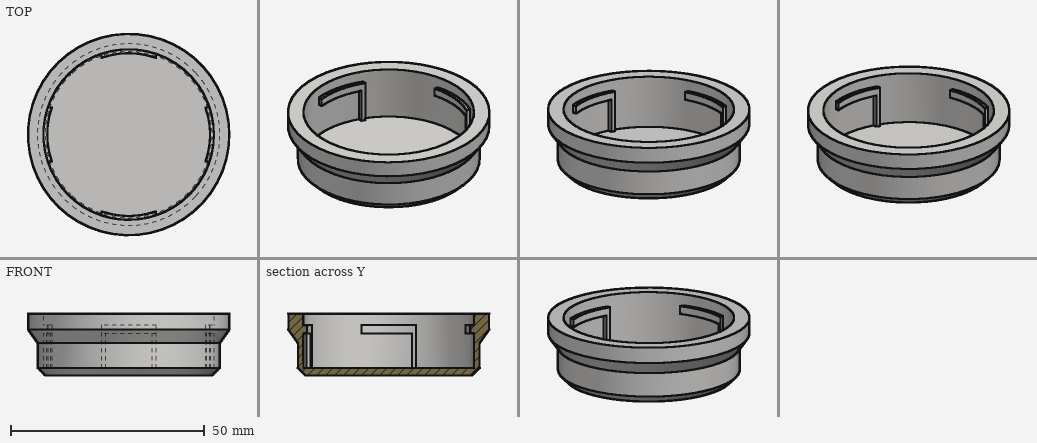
import cadquery as cq

rim_diameter = 52.0
body_diameter = 47.0
cavity_diameter = 44.0
total_height = 16.0
rim_height = 4.15
flare_height = 3.5
bottom_chamfer = 2.0
floor_thickness = 2.0

catch_count = 4
catch_length = 14.0
catch_thickness = 1.0
catch_depth_below_rim = 3.0
catch_bar_height = 2.1
catch_leg_width = 1.0

rim_radius = rim_diameter / 2
body_radius = body_diameter / 2
cavity_radius = cavity_diameter / 2
rim_bottom = total_height - rim_height
flare_bottom = rim_bottom - flare_height
catch_top = total_height - catch_depth_below_rim
wall_overlap = (body_radius - cavity_radius) / 2


def make_cup():
    """Flanged cup: chamfered foot, straight body, flared rim and a flat-floored cavity."""
    outer = (
        cq.Workplane("XZ")
        .lineTo(body_radius - bottom_chamfer, 0)
        .lineTo(body_radius, bottom_chamfer)
        .lineTo(body_radius, flare_bottom)
        .lineTo(rim_radius, rim_bottom)
        .lineTo(rim_radius, total_height)
        .lineTo(0, total_height)
        .close()
        .revolve(360, (0, 0), (0, 1))
    )
    cavity = (
        cq.Workplane("XY")
        .workplane(offset=floor_thickness)
        .circle(cavity_radius)
        .extrude(total_height - floor_thickness)
    )
    return outer.cut(cavity)


def make_catch():
    """Catch on the +Y wall: a bar with a leg down to the floor at its +X end."""
    half_length = catch_length / 2
    leg_height = catch_top - floor_thickness
    bar = (
        cq.Workplane("XY")
        .box(catch_length, rim_radius, catch_bar_height, centered=(True, False, False))
        .translate((0, 0, catch_top - catch_bar_height))
    )
    leg = (
        cq.Workplane("XY")
        .box(catch_leg_width, rim_radius, leg_height, centered=False)
        .translate((half_length - catch_leg_width, 0, floor_thickness))
    )
    wall_ring = (
        cq.Workplane("XY")
        .circle(cavity_radius + wall_overlap)
        .circle(cavity_radius - catch_thickness)
        .extrude(total_height)
    )
    return bar.union(leg).intersect(wall_ring)


result = make_cup()
catch = make_catch()
for index in range(catch_count):
    angle = index * 360 / catch_count
    result = result.union(catch.rotate((0, 0, 0), (0, 0, 1), angle))